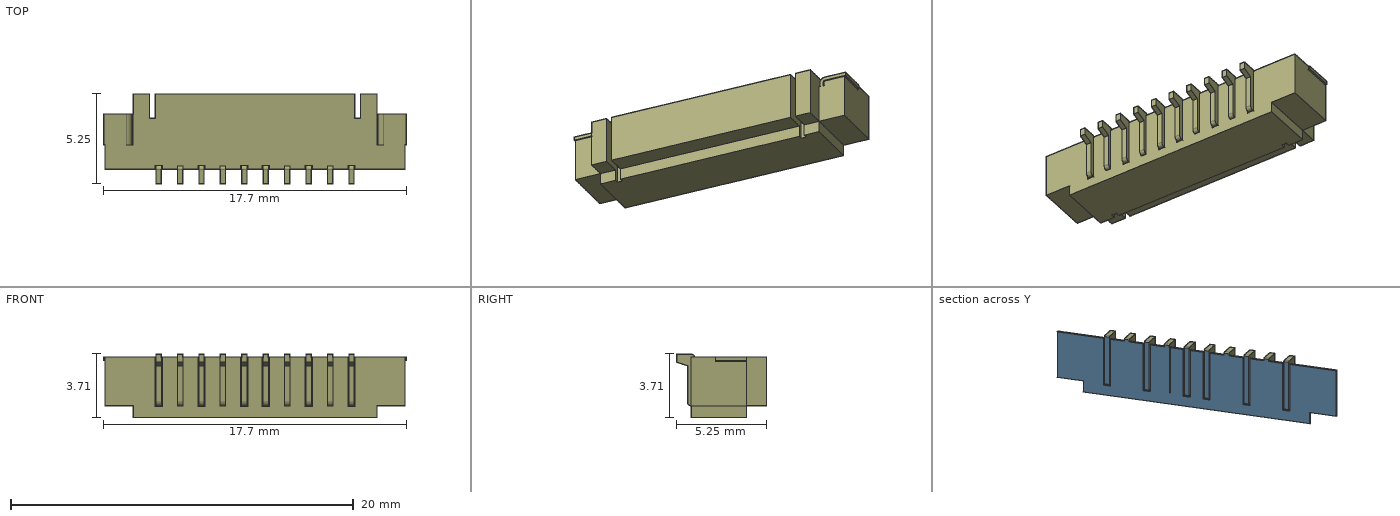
import cadquery as cq

BODY_HEIGHT = 3.55
CENTRE_WIDTH = 14.23
WING_SPAN = 17.52
WING_DEPTH = 3.23
REAR_OVERHANG = 1.17
FOOT_HEIGHT = 0.69

SLIT_WIDTH = 0.32
SLIT_LENGTH = 1.41
SLIT_OFFSET = 5.99

TAB_SPAN = 17.66
TAB_LENGTH = 1.8
TAB_THICKNESS = 0.21
TAB_BEND_RADIUS = 0.32
TAB_LEG_HEIGHT = 0.53
TAB_CLEARANCE = 0.05

PIN_COUNT = 10
PIN_ROW_LENGTH = 11.25
PIN_WIDTH = 0.32
PIN_RISE = 0.16
PIN_INSET = 0.21
PIN_STANDOFF = 0.21
PIN_REACH = 0.85
PIN_TIP_HEIGHT = 0.48
PIN_ROOT_HEIGHT = 0.69
PIN_BEND_RADIUS = 0.21
GROOVE_CLEARANCE = 0.05
EMBEDDED_PINS = (2, 4, 7, 9)

BODY_DEPTH = WING_DEPTH + REAR_OVERHANG
TAB_LEG_FACE = CENTRE_WIDTH / 2 + TAB_CLEARANCE
TAB_FRONT = WING_DEPTH - TAB_LENGTH
PIN_TOP = BODY_HEIGHT + PIN_RISE
PIN_PITCH = PIN_ROW_LENGTH / (PIN_COUNT - 1)


def block(x_min, x_max, y_min, y_max, z_min, z_max):
    """Box given by its limits along each axis."""
    size = (x_max - x_min, y_max - y_min, z_max - z_min)
    return cq.Workplane("XY").box(*size, centered=False).translate((x_min, y_min, z_min))


def centred_block(width, y_min, y_max, z_min, z_max):
    """Box symmetric about the X = 0 plane."""
    return block(-width / 2, width / 2, y_min, y_max, z_min, z_max)


def make_housing():
    """Wide front bar, narrower rear extension and a lower foot."""
    wings = centred_block(WING_SPAN, 0, WING_DEPTH, FOOT_HEIGHT, BODY_HEIGHT)
    centre = centred_block(CENTRE_WIDTH, 0, BODY_DEPTH, FOOT_HEIGHT, BODY_HEIGHT)
    foot = centred_block(CENTRE_WIDTH, 0, WING_DEPTH, 0, FOOT_HEIGHT)
    return wings.union(centre).union(foot)


def make_slit():
    """Cutter for the rear slit on the +X side."""
    x_min = SLIT_OFFSET - SLIT_WIDTH / 2
    return block(x_min, x_min + SLIT_WIDTH, BODY_DEPTH - SLIT_LENGTH, BODY_DEPTH, 0, BODY_HEIGHT)


def make_tab_pocket():
    """Cutter for the +X wing: shallow recess under the tab and a well for its bent leg."""
    centre_side = CENTRE_WIDTH / 2
    floor = BODY_HEIGHT - TAB_THICKNESS - TAB_CLEARANCE
    well_outer = TAB_LEG_FACE + TAB_THICKNESS + TAB_CLEARANCE
    well_floor = BODY_HEIGHT - TAB_LEG_HEIGHT
    recess = block(centre_side, TAB_SPAN / 2, TAB_FRONT, WING_DEPTH, floor, BODY_HEIGHT)
    well = block(centre_side, well_outer, TAB_FRONT, WING_DEPTH, well_floor, BODY_HEIGHT)
    return recess.union(well)


def make_tab():
    """Bent tab on the +X wing: flat top, rounded inner bend and a leg standing in the well."""
    inner_radius = TAB_BEND_RADIUS - TAB_THICKNESS
    bend_x = TAB_LEG_FACE + TAB_BEND_RADIUS
    bend_z = BODY_HEIGHT - TAB_BEND_RADIUS
    leg_end = BODY_HEIGHT - TAB_LEG_HEIGHT
    profile = (
        cq.Workplane("XZ", origin=(0, WING_DEPTH, 0))
        .moveTo(TAB_LEG_FACE, leg_end)
        .lineTo(TAB_LEG_FACE, bend_z)
        .radiusArc((bend_x, BODY_HEIGHT), TAB_BEND_RADIUS)
        .lineTo(TAB_SPAN / 2, BODY_HEIGHT)
        .lineTo(TAB_SPAN / 2, BODY_HEIGHT - TAB_THICKNESS)
        .lineTo(bend_x, BODY_HEIGHT - TAB_THICKNESS)
        .radiusArc((bend_x - inner_radius, bend_z), -inner_radius)
        .lineTo(bend_x - inner_radius, leg_end)
        .close()
    )
    return profile.extrude(TAB_LENGTH)


def make_pin(x):
    """Contact centred at x: upright strip with a foot reaching forward at the top."""
    profile = (
        cq.Workplane("YZ", origin=(x - PIN_WIDTH / 2, 0, 0))
        .moveTo(PIN_INSET, FOOT_HEIGHT)
        .lineTo(PIN_INSET, PIN_TOP - PIN_BEND_RADIUS)
        .radiusArc((PIN_INSET - PIN_BEND_RADIUS, PIN_TOP), -PIN_BEND_RADIUS)
        .lineTo(-PIN_REACH, PIN_TOP)
        .lineTo(-PIN_REACH, PIN_TOP - PIN_TIP_HEIGHT)
        .lineTo(-PIN_STANDOFF, PIN_TOP - PIN_ROOT_HEIGHT)
        .lineTo(-PIN_STANDOFF, FOOT_HEIGHT + PIN_BEND_RADIUS)
        .radiusArc((PIN_BEND_RADIUS - PIN_STANDOFF, FOOT_HEIGHT), -PIN_BEND_RADIUS)
        .close()
    )
    return profile.extrude(PIN_WIDTH)


def make_groove(x):
    """Cutter for the front groove that holds the contact centred at x."""
    half_width = PIN_WIDTH / 2 + GROOVE_CLEARANCE
    bottom = FOOT_HEIGHT - GROOVE_CLEARANCE
    return block(x - half_width, x + half_width, 0, PIN_INSET, bottom, BODY_HEIGHT)


def with_mirror(shape):
    """Shape together with its mirror image across X = 0."""
    return shape.union(shape.mirror("YZ"))


result = make_housing()
result = result.cut(with_mirror(make_slit()))
result = result.cut(with_mirror(make_tab_pocket()))
result = result.union(with_mirror(make_tab()))

for number in range(1, PIN_COUNT + 1):
    pin_x = (number - (PIN_COUNT + 1) / 2) * PIN_PITCH
    if number not in EMBEDDED_PINS:
        result = result.cut(make_groove(pin_x))
    result = result.union(make_pin(pin_x))